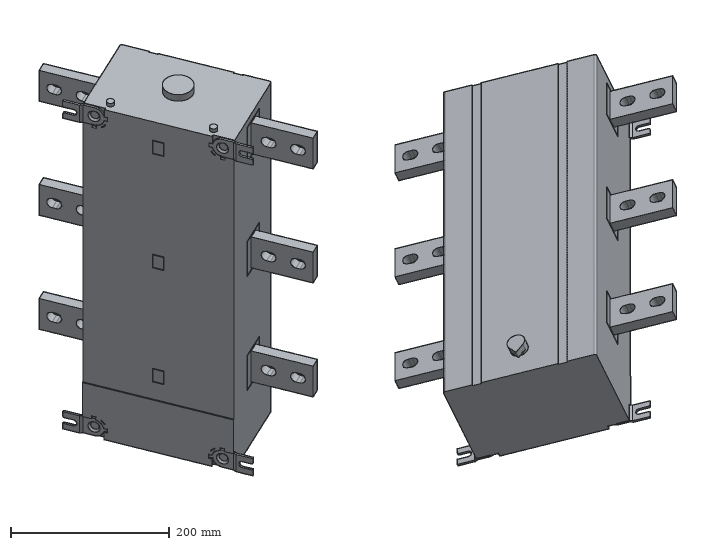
import cadquery as cq
import math

EPS = 0.5

body_width = 205.0
body_height = 534.0
body_back = 132.0
body_front = 1.75
back_edge_radius = 3.0
lower_panel_height = 84.0
half_width = body_width / 2

groove_offset = 57.5
groove_width = 12.0
groove_depth = 1.5

overall_width = 372.0
pole_pitch = 185.0
bar_mid_z = 308.5
bar_height = 50.0
bar_thickness = 15.0
bar_y = 70.5
slot_length = 20.0
slot_width = 15.0
slot_offsets = (125.5, 165.5)
pole_heights = [bar_mid_z + i * pole_pitch for i in (-1, 0, 1)]

recess_length = 41.5
recess_height = 56.0
recess_depth = 0.5
recess_y = 69.5

window_width = 15.0
window_height = 21.0
window_front = 0.5

boss_diameter = 40.0
boss_height = 10.5
pin_diameter = 10.0
pin_height = 5.5
pin_x = 70.0
pin_y = 14.5
knob_diameter = 23.5
knob_z = 42.5
knob_length = 13.9
pointer_tip_radius = 0.5
pointer_reach = 18.5
pointer_depth = 10.0

bracket_x = 87.25
bracket_z = 15.0
bracket_radius = 14.0
bracket_end = 129.0
bracket_thickness = 3.0
joggle_outer_x = 106.0
joggle_inner_x = 102.0
joggle_step = 2.0
mouth_width = 9.5
mouth_bottom_x = 110.0
mouth_radius = 2.0
screw_diameter = 11.5
screw_head_diameter = 16.5
pocket_floor = joggle_step + bracket_thickness
key_width = 6.0
key_reach = 18.5
arc_slot_inner = 17.5
arc_slot_outer = 18.5
arc_slot_start = 33.0
arc_slot_end = 55.0


def box(x0, x1, y0, y1, z0, z1):
    """Box between two opposite corners."""
    return cq.Workplane("XY").box(x1 - x0, y1 - y0, z1 - z0, centered=False).translate((x0, y0, z0))


def cylinder_y(diameter, x, z, y0, y1):
    """Cylinder along Y from y0 to y1."""
    return cq.Workplane("XZ", origin=(x, y0, z)).circle(diameter / 2).extrude(y0 - y1)


def both_sides(shape):
    """The shape together with its mirror image across X = 0."""
    return shape.union(shape.mirror("YZ"))


def four_corners(shape):
    """The lower left shape repeated at all four front corners."""
    pair = both_sides(shape)
    upper = pair.mirror("XY", (0, 0, body_height / 2))
    return pair.union(upper)


def make_body():
    body = box(-half_width, half_width, body_front, body_back, 0, body_height)
    body = body.edges("|Z and >Y").fillet(back_edge_radius)
    lower_panel = box(-half_width, half_width, 0, body_front + EPS, 0, lower_panel_height)
    body = body.union(lower_panel)
    groove = box(
        groove_offset - groove_width / 2,
        groove_offset + groove_width / 2,
        body_back - groove_depth,
        body_back + EPS,
        -EPS,
        body_height + EPS,
    )
    return body.cut(both_sides(groove))


def make_bar_recesses():
    """Recesses in the left and right walls around every bar."""
    recesses = cq.Workplane("XY")
    for z in pole_heights:
        recess = box(
            half_width - recess_depth,
            half_width + EPS,
            recess_y - recess_length / 2,
            recess_y + recess_length / 2,
            z - recess_height / 2,
            z + recess_height / 2,
        )
        recesses = recesses.add(both_sides(recess))
    return recesses.combine()


def make_bar(z):
    """Terminal bar through the housing, with two slots at each end."""
    bar = cq.Workplane("XY").box(overall_width, bar_thickness, bar_height)
    slot_centers = [(sign * offset, 0) for sign in (-1, 1) for offset in slot_offsets]
    slots = cq.Workplane("XZ").pushPoints(slot_centers).slot2D(slot_length, slot_width)
    bar = bar.cut(slots.extrude(bar_thickness, both=True))
    return bar.translate((0, bar_y, z))


def make_window(z):
    return box(
        -window_width / 2,
        window_width / 2,
        window_front,
        body_front + EPS,
        z - window_height / 2,
        z + window_height / 2,
    )


def make_top_fittings():
    """Large round boss and two small pins on the top face."""
    top = cq.Workplane("XY", origin=(0, 0, body_height))
    boss = top.center(0, bar_y).circle(boss_diameter / 2).extrude(boss_height)
    pin_centers = [(-pin_x, pin_y), (pin_x, pin_y)]
    pins = cq.Workplane("XY", origin=(0, 0, body_height)).pushPoints(pin_centers)
    return boss.union(pins.circle(pin_diameter / 2).extrude(pin_height))


def make_knob():
    """Round knob on the back with a tapered, round-tipped pointer hanging below it."""
    knob_end = body_back + knob_length
    knob_radius = knob_diameter / 2
    knob = cylinder_y(knob_diameter, 0, knob_z, body_back - EPS, knob_end)
    tip_drop = pointer_reach - pointer_tip_radius
    flank_sine = (knob_radius - pointer_tip_radius) / tip_drop
    flank_cosine = math.sqrt(1 - flank_sine**2)
    knob_tangent = (knob_radius * flank_cosine, -knob_radius * flank_sine)
    tip_tangent = (
        pointer_tip_radius * flank_cosine,
        -tip_drop - pointer_tip_radius * flank_sine,
    )
    pointer = (
        cq.Workplane("XZ", origin=(0, knob_end, knob_z))
        .moveTo(*knob_tangent)
        .lineTo(*tip_tangent)
        .threePointArc((0, -pointer_reach), (-tip_tangent[0], tip_tangent[1]))
        .lineTo(-knob_tangent[0], knob_tangent[1])
        .close()
        .extrude(pointer_depth)
    )
    return knob.union(pointer)


def rounded_tongue(outer_x, y0, y1):
    """Plate from outer_x to a half-round end about the screw axis."""
    plate = box(-outer_x, -bracket_x, y0, y1, bracket_z - bracket_radius, bracket_z + bracket_radius)
    return plate.union(cylinder_y(2 * bracket_radius, -bracket_x, bracket_z, y0, y1))


def bracket_key(y0, y1):
    """Small tab pointing inward from the round end of a bracket."""
    return box(
        -bracket_x,
        -bracket_x + key_reach,
        y0,
        y1,
        bracket_z - key_width / 2,
        bracket_z + key_width / 2,
    )


def make_pocket():
    """Corner pocket that takes the bracket sideways or turned a quarter turn."""
    sideways = rounded_tongue(half_width + EPS, -EPS, pocket_floor)
    sideways = sideways.union(bracket_key(-EPS, pocket_floor))
    axis_start = (-bracket_x, 0, bracket_z)
    axis_end = (-bracket_x, 1, bracket_z)
    turned = sideways.rotate(axis_start, axis_end, -90)
    corner = box(
        -half_width - EPS,
        -bracket_x + bracket_radius,
        -EPS,
        pocket_floor,
        -EPS,
        bracket_z,
    )
    pocket = sideways.union(turned).union(corner)
    return pocket.union(make_arc_slot())


def make_arc_slot():
    """Narrow arc-shaped slot between the two key notches of the pocket."""

    def polar(radius, degrees):
        angle = math.radians(degrees)
        return (radius * math.cos(angle), radius * math.sin(angle))

    middle = (arc_slot_start + arc_slot_end) / 2
    return (
        cq.Workplane("XZ", origin=(-bracket_x, -EPS, bracket_z))
        .moveTo(*polar(arc_slot_inner, arc_slot_start))
        .lineTo(*polar(arc_slot_outer, arc_slot_start))
        .threePointArc(polar(arc_slot_outer, middle), polar(arc_slot_outer, arc_slot_end))
        .lineTo(*polar(arc_slot_inner, arc_slot_end))
        .threePointArc(polar(arc_slot_inner, middle), polar(arc_slot_inner, arc_slot_start))
        .close()
        .extrude(-pocket_floor - EPS)
    )


def make_bracket():
    """Joggled lug with an open slot, a round end, a key and a countersunk hole."""
    tongue = rounded_tongue(joggle_inner_x, joggle_step, pocket_floor)
    tongue = tongue.union(bracket_key(joggle_step, pocket_floor))
    screw_hole = cq.Workplane(
        cq.Solid.makeCone(
            screw_head_diameter / 2,
            screw_diameter / 2,
            bracket_thickness,
            cq.Vector(-bracket_x, joggle_step, bracket_z),
            cq.Vector(0, 1, 0),
        )
    )
    lug = (
        cq.Workplane("XY", origin=(0, 0, bracket_z - bracket_radius))
        .moveTo(-bracket_end, 0)
        .lineTo(-joggle_outer_x, 0)
        .lineTo(-joggle_inner_x, joggle_step)
        .lineTo(-joggle_inner_x, pocket_floor)
        .lineTo(-joggle_outer_x, bracket_thickness)
        .lineTo(-bracket_end, bracket_thickness)
        .close()
        .extrude(2 * bracket_radius)
    )
    mouth_round_x = mouth_bottom_x + mouth_width / 2
    mouth = cylinder_y(mouth_width, -mouth_round_x, bracket_z, -EPS, pocket_floor)
    mouth = mouth.union(
        box(
            -bracket_end - EPS,
            -mouth_round_x,
            -EPS,
            pocket_floor,
            bracket_z - mouth_width / 2,
            bracket_z + mouth_width / 2,
        )
    )
    lug = lug.cut(mouth)
    upper_lip = cq.selectors.NearestToPointSelector(
        (-bracket_end, bracket_thickness / 2, bracket_z + mouth_width / 2)
    )
    lug = lug.edges("|Y").edges(upper_lip).fillet(mouth_radius)
    return lug.union(tongue.cut(screw_hole))


result = make_body().cut(make_bar_recesses()).cut(four_corners(make_pocket()))
for pole_z in pole_heights:
    result = result.union(make_bar(pole_z)).union(make_window(pole_z))
result = result.union(make_top_fittings()).union(make_knob())
result = result.union(four_corners(make_bracket()))